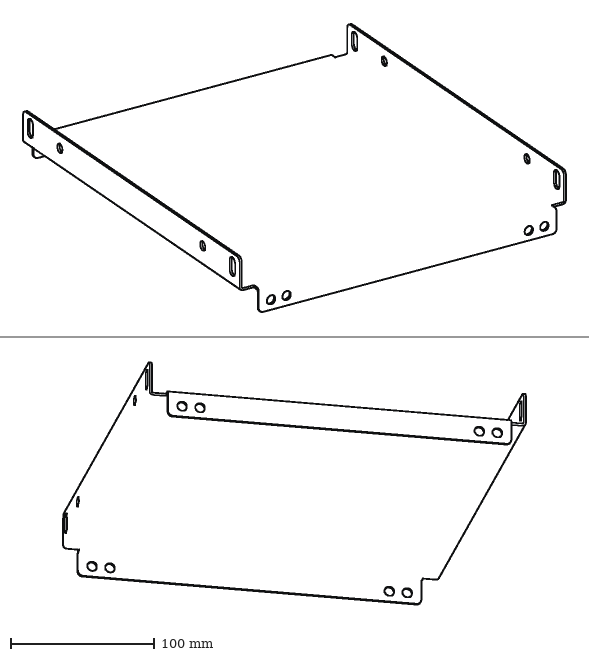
import cadquery as cq
import math

length = 298.0
width = 269.0
height = 43.0
thickness = 1.8
inner_bend = 0.98
outer_bend = inner_bend + thickness

up_height = 25.5
up_length = 285.0

down_length = 245.5
corner_radius = 3.5

slot_width = 7.2
slot_length = 14.3
slot_end_inset = 9.5
slot_top_inset = 10.5
up_hole_diameter = 7.0
up_hole_spacing = 187.7
up_hole_top_inset = 10.0

down_hole_diameter = 7.0
down_hole_end_inset = 10.0
down_hole_pitch = 12.8
down_hole_bottom_inset = 7.7

top_z = up_height
bottom_z = up_height - height

def channel_profile(plane, span, web_z, leg_z, run):
    """Bent channel: flat web with its outer face at web_z, two legs ending at leg_z."""
    inward = 1 if leg_z > web_z else -1
    half = span / 2
    inner_half = half - thickness
    inner_z = web_z + inward * thickness
    bend_z = web_z + inward * outer_bend
    flat_half = half - outer_bend
    diagonal = math.sqrt(0.5)

    def bend_middle(side, radius):
        return (side * (flat_half + radius * diagonal), bend_z - inward * radius * diagonal)

    return (
        cq.Workplane(plane)
        .moveTo(-half, leg_z)
        .lineTo(-half, bend_z)
        .threePointArc(bend_middle(-1, outer_bend), (-flat_half, web_z))
        .lineTo(flat_half, web_z)
        .threePointArc(bend_middle(1, outer_bend), (half, bend_z))
        .lineTo(half, leg_z)
        .lineTo(inner_half, leg_z)
        .lineTo(inner_half, bend_z)
        .threePointArc(bend_middle(1, inner_bend), (flat_half, inner_z))
        .lineTo(-flat_half, inner_z)
        .threePointArc(bend_middle(-1, inner_bend), (-inner_half, bend_z))
        .lineTo(-inner_half, leg_z)
        .close()
        .extrude(run / 2, both=True)
    )

def up_flange_openings():
    """Round holes and upright end slots, cut through both upward flanges."""
    slot_x = up_length / 2 - slot_end_inset
    hole_x = up_hole_spacing / 2
    slots = (
        cq.Workplane("XZ")
        .pushPoints([(side * slot_x, top_z - slot_top_inset) for side in (-1, 1)])
        .slot2D(slot_length, slot_width, 90)
        .extrude(width, both=True)
    )
    holes = (
        cq.Workplane("XZ")
        .pushPoints([(side * hole_x, top_z - up_hole_top_inset) for side in (-1, 1)])
        .circle(up_hole_diameter / 2)
        .extrude(width, both=True)
    )
    return slots.union(holes)

def down_flange_openings():
    """A pair of round holes near each end, cut through both downward flanges."""
    outer_y = down_length / 2 - down_hole_end_inset
    hole_z = bottom_z + down_hole_bottom_inset
    centers = [
        (side * (outer_y - step * down_hole_pitch), hole_z)
        for side in (-1, 1)
        for step in (0, 1)
    ]
    return (
        cq.Workplane("YZ")
        .pushPoints(centers)
        .circle(down_hole_diameter / 2)
        .extrude(length, both=True)
    )

up_channel = channel_profile("YZ", width, 0, top_z, up_length)
up_channel = up_channel.faces(">Z").edges("|Y").fillet(corner_radius).cut(up_flange_openings())

down_channel = channel_profile("XZ", length, thickness, bottom_z, down_length)
down_channel = down_channel.faces("<Z").edges("|X").fillet(corner_radius).cut(down_flange_openings())

result = up_channel.union(down_channel)